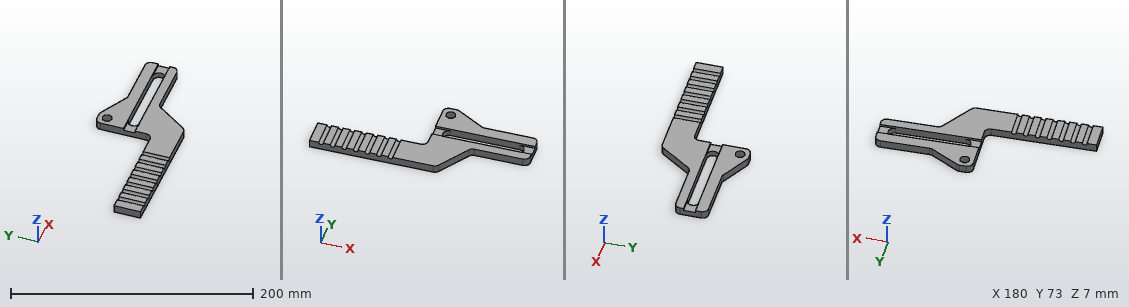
import cadquery as cq

length = 180.0
width = 73.0
thickness = 7.0

handle_width = 23.0
step_x = 94.0
arm_bottom_y = 30.0
arm_top_y = 58.0
lug_taper_start_x = 105.7
lug_taper_end_x = 132.0
heel_x = 109.5
arm_root_x = 130.7
corner_radius = 5.0

pivot_diameter = 8.0
pivot_inset = 8.0
pivot_x = step_x + pivot_inset
pivot_y = width - pivot_inset
slot_width = 10.0
slot_length = 70.0
slot_y = 43.0
slot_start_x = pivot_x
channel_depth = 2.0

groove_count = 7
pitches_per_length = 18
groove_pitch = length / pitches_per_length
groove_radius = 2.0


def make_plate():
    """Extrude the outline and round all corners except the handle's free end."""
    plate = (
        cq.Workplane("XY")
        .polyline([
            (0, 0),
            (heel_x, 0),
            (arm_root_x, arm_bottom_y),
            (length, arm_bottom_y),
            (length, arm_top_y),
            (lug_taper_end_x, arm_top_y),
            (lug_taper_start_x, width),
            (step_x, width),
            (step_x, handle_width),
            (0, handle_width),
        ])
        .close()
        .extrude(thickness)
    )
    return plate.edges("|Z").edges("not <X").fillet(corner_radius)


def make_pivot_hole():
    return (
        cq.Workplane("XY")
        .center(pivot_x, pivot_y)
        .circle(pivot_diameter / 2)
        .extrude(thickness)
    )


def make_slot():
    """Round-ended through slot along the arm."""
    return (
        cq.Workplane("XY")
        .center(slot_start_x + slot_length / 2, slot_y)
        .slot2D(slot_length, slot_width)
        .extrude(thickness)
    )


def make_channel():
    """Shallow channel in the top face, as wide as the slot and open at both ends."""
    return (
        cq.Workplane("XY", origin=(step_x, slot_y, thickness - channel_depth))
        .box(length - step_x, slot_width, channel_depth, centered=(False, True, False))
    )


def make_grooves():
    """Half-round grooves across the top of the handle."""
    centres = [(index * groove_pitch, thickness) for index in range(1, groove_count + 1)]
    return (
        cq.Workplane("XZ")
        .pushPoints(centres)
        .circle(groove_radius)
        .extrude(-handle_width)
    )


result = (
    make_plate()
    .cut(make_pivot_hole())
    .cut(make_slot())
    .cut(make_channel())
    .cut(make_grooves())
)